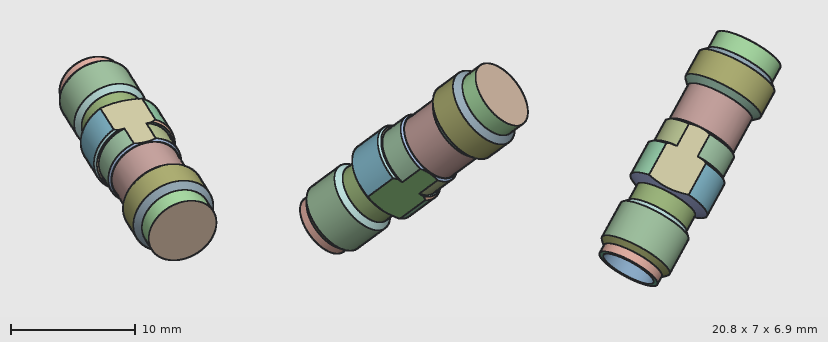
import cadquery as cq

length = 20.75

nose_radius = 2.65
left_collar_radius = 3.11
left_collar_start = 0.77
left_collar_end = 4.98
left_bevel = 0.48

body_start = 6.52
body_end = 10.15
body_radius = 3.5
body_bevel_length = 0.45
step_end = 12.45
step_radius = 3.15
edge_chamfer = 0.19

flat_height = 3.0

barrel_radius = 2.93
right_collar_diameter = 6.9
right_collar_radius = right_collar_diameter / 2
right_collar_start = 15.8
right_collar_end = 19.21
right_bevel = 0.54

bore_radius = 2.3
bore_depth = 2.0


def cylinder(start, end, radius):
    """Solid cylinder along X between two stations."""
    return cq.Workplane("YZ", origin=(start, 0, 0)).circle(radius).extrude(end - start)


def revolve_profile(points):
    """Turn a half profile of (x, radius) points about the X axis."""
    return cq.Workplane("XY").polyline(points).close().revolve(360, (0, 0, 0), (1, 0, 0))


def bevelled_collar(start, end, root_radius, radius, bevel):
    """Collar with conical shoulders that rise from the root radius."""
    return revolve_profile([
        (start, 0),
        (start, root_radius),
        (start + bevel, radius),
        (end - bevel, radius),
        (end, root_radius),
        (end, 0),
    ])


def wrench_body():
    """Bevelled body and chamfered step, cut by a flat above and below."""
    turned = revolve_profile([
        (body_start, 0),
        (body_start, nose_radius),
        (body_start + body_bevel_length, body_radius),
        (body_end - edge_chamfer, body_radius),
        (body_end, body_radius - edge_chamfer),
        (body_end, step_radius),
        (step_end - edge_chamfer, step_radius),
        (step_end, step_radius - edge_chamfer),
        (step_end, 0),
    ])
    body_length = step_end - body_start
    slab = cq.Workplane("XY").box(body_length, 2 * body_radius, 2 * flat_height)
    return turned.intersect(slab.translate((body_start + body_length / 2, 0, 0)))


result = (
    cylinder(0, body_start, nose_radius)
    .union(bevelled_collar(left_collar_start, left_collar_end, nose_radius, left_collar_radius, left_bevel))
    .union(wrench_body())
    .union(cylinder(step_end, length, barrel_radius))
    .union(bevelled_collar(right_collar_start, right_collar_end, barrel_radius, right_collar_radius, right_bevel))
    .cut(cylinder(0, bore_depth, bore_radius))
)